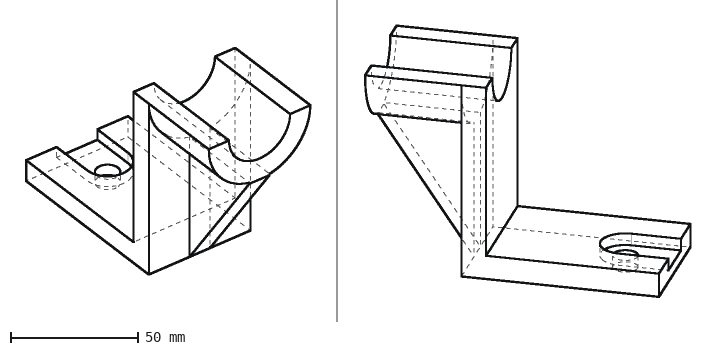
import cadquery as cq

length = 119.0
width = 50.0
height = 82.0
thickness = 10.0
base_length = 80.0

cradle_outer_radius = width / 2
cradle_bore_radius = 15.0

rib_thickness = 10.0

recess_width = 2 * thickness
recess_depth = thickness / 2
hole_diameter = 10.0
hole_x = 20.0


def make_angle():
    """L-shaped plate: flat base and upright wall, centred on Y = 0."""
    wall_x = base_length - thickness
    return (
        cq.Workplane("XZ")
        .moveTo(0, 0)
        .lineTo(base_length, 0)
        .lineTo(base_length, height)
        .lineTo(wall_x, height)
        .lineTo(wall_x, thickness)
        .lineTo(0, thickness)
        .close()
        .extrude(width / 2, both=True)
    )


def make_cradle():
    """Solid lower half cylinder behind the upright."""
    return (
        cq.Workplane("YZ", origin=(base_length, 0, height))
        .moveTo(-cradle_outer_radius, 0)
        .threePointArc((0, -cradle_outer_radius), (cradle_outer_radius, 0))
        .close()
        .extrude(length - base_length)
    )


def make_rib():
    """Rib from the foot of the upright to the underside of the cradle's end."""
    cradle_bottom = height - cradle_outer_radius
    return (
        cq.Workplane("XZ")
        .moveTo(base_length, 0)
        .lineTo(length, cradle_bottom)
        .lineTo(length, height - cradle_bore_radius)
        .lineTo(base_length, height - cradle_bore_radius)
        .close()
        .extrude(rib_thickness / 2, both=True)
    )


def make_bore():
    """Round channel through the upright and the cradle."""
    return cq.Workplane("YZ", origin=(0, 0, height)).circle(cradle_bore_radius).extrude(length)


def make_recess():
    """Round-ended pocket in the top of the base, running out at its free end."""
    floor = cq.Workplane("XY", origin=(0, 0, thickness - recess_depth))
    round_end = floor.center(hole_x, 0).circle(recess_width / 2).extrude(recess_depth)
    channel = floor.center(hole_x / 2, 0).rect(hole_x, recess_width).extrude(recess_depth)
    return channel.union(round_end)


def make_hole():
    """Bolt hole through the floor of the recess."""
    return cq.Workplane("XY").center(hole_x, 0).circle(hole_diameter / 2).extrude(thickness)


result = (
    make_angle()
    .union(make_cradle())
    .union(make_rib())
    .cut(make_bore())
    .cut(make_recess())
    .cut(make_hole())
)